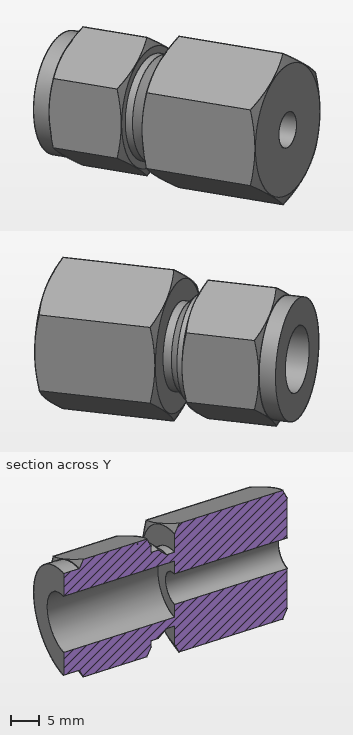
import cadquery as cq
import math


total_length = 44.4
collar_end = 3.05
nut_end = 17.4
shoulder_end = 18.83
neck_start = 20.42
body_start = 22.0

nut_across_flats = 22.0
body_across_flats = 24.0
collar_diameter = nut_across_flats
shoulder_diameter = 19.1
neck_diameter = 16.0
tube_socket_diameter = 12.0
bore_diameter = 6.5

tube_socket_depth = body_start
chamfer_angle = 25.0
chamfer_circle_ratio = 0.99


def cylinder(start, end, diameter):
    """Cylinder on the X axis between two positions."""
    return cq.Workplane("YZ", origin=(start, 0, 0)).circle(diameter / 2).extrude(end - start)


def revolve_profile(points):
    """Solid of revolution about X from (position, radius) points."""
    return cq.Workplane("XY").polyline(points).close().revolve(360, (0, 0, 0), (1, 0, 0))


def chamfered_hexagon(start, end, across_flats):
    """Hexagonal prism with corners up and down, its corners turned off conically at both ends."""
    across_corners = across_flats / math.cos(math.radians(30))
    prism = (
        cq.Workplane("YZ", origin=(start, 0, 0))
        .transformed(rotate=(0, 0, 90))
        .polygon(6, across_corners)
        .extrude(end - start)
    )
    corner_radius = across_corners / 2
    face_radius = chamfer_circle_ratio * across_flats / 2
    chamfer_length = (corner_radius - face_radius) * math.tan(math.radians(chamfer_angle))
    turned_envelope = revolve_profile([
        (start, 0),
        (start, face_radius),
        (start + chamfer_length, corner_radius),
        (end - chamfer_length, corner_radius),
        (end, face_radius),
        (end, 0),
    ])
    return prism.intersect(turned_envelope)


collar = cylinder(0, collar_end, collar_diameter)
nut = chamfered_hexagon(collar_end, nut_end, nut_across_flats)

neck = revolve_profile([
    (nut_end, 0),
    (nut_end, shoulder_diameter / 2),
    (shoulder_end, shoulder_diameter / 2),
    (neck_start, neck_diameter / 2),
    (body_start, neck_diameter / 2),
    (body_start, 0),
])

body = chamfered_hexagon(body_start, total_length, body_across_flats)

tube_socket = cylinder(0, tube_socket_depth, tube_socket_diameter)
bore = cylinder(0, total_length, bore_diameter)

result = collar.union(nut).union(neck).union(body).cut(tube_socket).cut(bore)